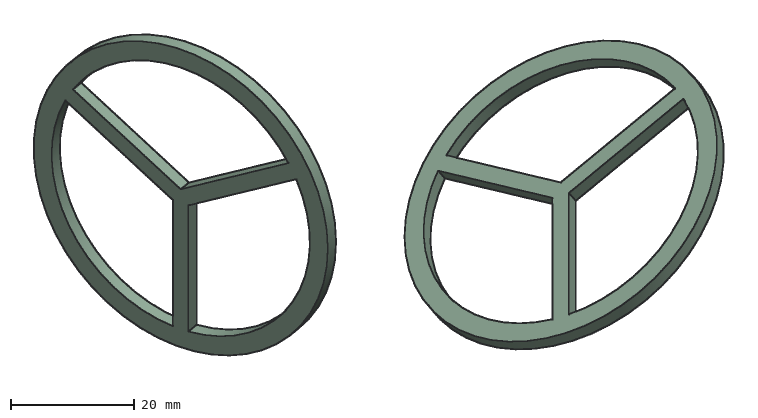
import math

import cadquery as cq

outer_diameter = 57.0
inner_diameter = 50.0
thickness = 2.5
spoke_width = 3.0
spoke_count = 3

inner_radius = inner_diameter / 2
spoke_pitch = 360 / spoke_count
half_pitch = math.radians(spoke_pitch / 2)

apex_distance = spoke_width / 2 / math.sin(half_pitch)
corner_angle = half_pitch - math.asin(spoke_width / 2 / inner_radius)
corner_x = inner_radius * math.sin(corner_angle)
corner_z = inner_radius * math.cos(corner_angle)


def make_disc():
    """Solid disc the windows are cut from, with its faces at Y = +/- half the thickness."""
    back_plane = cq.Workplane("XZ", origin=(0, thickness / 2, 0))
    return back_plane.circle(outer_diameter / 2).extrude(thickness)


def make_window(angle):
    """Opening between two spokes, pointing to +Z and turned about the Y axis by angle degrees."""
    window = (
        cq.Workplane("XZ", origin=(0, thickness / 2, 0))
        .moveTo(0, apex_distance)
        .lineTo(corner_x, corner_z)
        .threePointArc((0, inner_radius), (-corner_x, corner_z))
        .close()
        .extrude(thickness)
    )
    return window.rotate((0, 0, 0), (0, 1, 0), angle)


result = make_disc()
for index in range(spoke_count):
    result = result.cut(make_window(index * spoke_pitch))